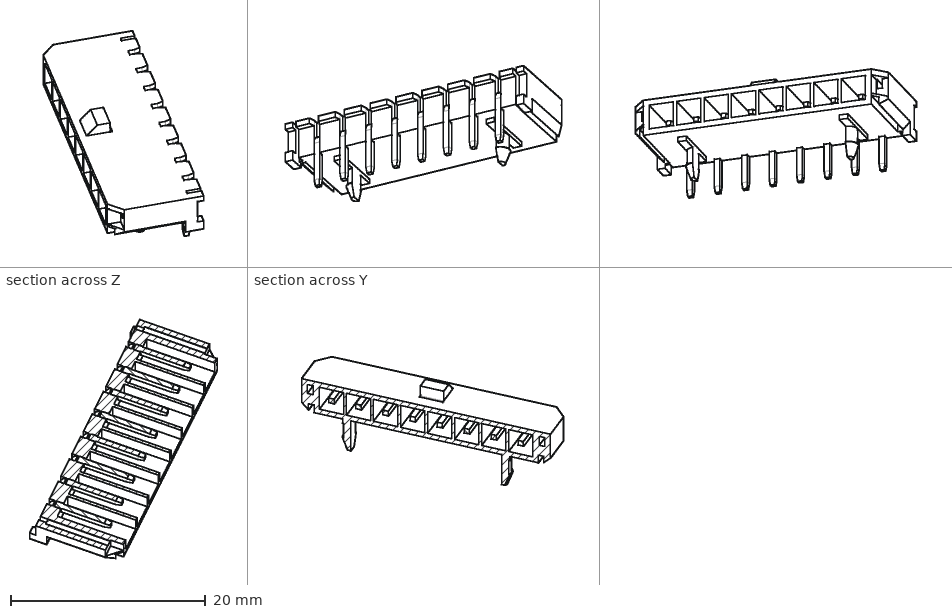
import cadquery as cq


contact_count = 8
contact_span = 21.01
pitch = contact_span / (contact_count - 1)
contact_size = 0.64
contact_tip_size = 0.47
contact_tip_length = 0.7
contact_bottom = -3.18
contact_front = 2.2
bend_radius = 1.0

width = 27.65
depth = 9.9
top = 4.4
underside = 0.5
half_width = width / 2
rear_wall = 9.24

cavity_size = 2.63
cavity_bottom = 1.13
cavity_depth = 7.6
contact_axis = cavity_bottom + cavity_size / 2
cavity_top = cavity_bottom + cavity_size

corner_x = 1.35
corner_y = 1.45
corner_floor = 1.71

bevel = 0.77
bevel_top = 1.45
channel_top = bevel_top

overhang_bottom = 3.75
foot_front = 8.0
foot_top = 1.08
slot_inset = 0.85
slot_width = 0.4
slot_front = 8.38
notch_width = 1.05

window_inset = 0.65
window_bottom = 2.75

latch_width = 2.6
latch_height = 1.2
latch_front = 0.83
latch_crest = 2.0
latch_back = 3.35
groove_radius = 0.25

rail_outer = 9.3
peg_flat = 8.35
rail_front = 1.7
rail_back = 7.75
peg_y = 4.55
peg_radius = 0.9
barb_radius = 1.05
barb_tip_radius = 0.53
barb_top = -1.75
peg_bottom = contact_bottom

contact_positions = [i * pitch - contact_span / 2 for i in range(contact_count)]
contact_back = rear_wall
contact_leg_front = contact_back - contact_size


def block(x_range, y_range, z_range):
    """Box spanning the given coordinate ranges."""
    (x0, x1), (y0, y1), (z0, z1) = x_range, y_range, z_range
    return cq.Workplane("XY").box(x1 - x0, y1 - y0, z1 - z0, centered=False).translate((x0, y0, z0))


def prism_along_x(yz_points, x_start, length):
    """Extrude a YZ outline towards +X."""
    return cq.Workplane("YZ").polyline(yz_points).close().extrude(length).translate((x_start, 0, 0))


def prism_along_z(xy_points, z_start, z_end):
    """Extrude an XY outline upwards."""
    return cq.Workplane("XY").workplane(offset=z_start).polyline(xy_points).close().extrude(z_end - z_start)


def make_shell():
    """Main block with the overhanging top edge at the back."""
    body = block((-half_width, half_width), (0, rear_wall), (underside, top))
    overhang = block((-half_width, half_width), (rear_wall, depth), (overhang_bottom, top))
    return body.union(overhang)


def bevel_cut():
    """Bevel along the lower -X edge, from the front up to the foot."""
    inner = -half_width + bevel
    return (
        cq.Workplane("XZ")
        .polyline([
            (-half_width, bevel_top),
            (inner, bevel_top - bevel),
            (inner, underside),
            (-half_width, underside),
        ])
        .close()
        .extrude(-foot_front)
    )


def corner_cut():
    """Chamfer of the -X front corner and its square pocket."""
    wall = -half_width + corner_x
    chamfer = prism_along_z([(-half_width, 0), (wall, 0), (-half_width, corner_y)], underside, top)
    pocket = block((-half_width, wall), (0, corner_y), (corner_floor, cavity_top))
    return chamfer.union(pocket)


def channel_cut():
    """Open channel under the -X side, leaving a hooked lip between it and the bevel."""
    return block((-half_width + bevel, -half_width + corner_x), (0, foot_front), (underside, channel_top))


def foot():
    """Foot at the -X back corner."""
    return block((-half_width, -half_width + slot_inset), (foot_front, depth), (0, foot_top))


def slot_cut():
    """Upright slot at the -X back corner and the window leading to it from the corner pocket."""
    slot_x = -half_width + slot_inset
    slot = block((slot_x, slot_x + slot_width), (slot_front, depth), (0, top))
    window = block(
        (-half_width + window_inset, slot_x + slot_width), (corner_y, slot_front), (window_bottom, cavity_top)
    )
    return slot.union(window)


def rail_and_peg():
    """Standoff rail near the -X end with a half-round barbed peg, flat on its inner side."""
    rail = block((-rail_outer, -peg_flat), (rail_front, rail_back), (0, underside))
    profile = [
        (0, 0),
        (peg_radius, 0),
        (peg_radius, barb_top),
        (barb_radius, barb_top),
        (barb_tip_radius, peg_bottom),
        (0, peg_bottom),
    ]
    round_peg = cq.Workplane("XZ").polyline(profile).close().revolve(360, (0, 0, 0), (0, 1, 0))
    outer_half = block((-barb_radius, 0), (-barb_radius, barb_radius), (peg_bottom, 0))
    return rail.union(round_peg.intersect(outer_half).translate((-peg_flat, peg_y, 0)))


def latch():
    """Ramp on the top face that the mating plug snaps over."""
    outline = [
        (latch_front, top),
        (latch_crest, top + latch_height),
        (latch_back, top + latch_height),
        (latch_back, top),
    ]
    return prism_along_x(outline, -latch_width / 2, latch_width)


def latch_groove():
    """Small groove behind the latch, its floor a quarter round from the latch down to the back."""
    groove_back = latch_back + groove_radius
    return (
        cq.Workplane("YZ")
        .moveTo(latch_back, top)
        .radiusArc((groove_back, top - groove_radius), -groove_radius)
        .lineTo(groove_back, top)
        .close()
        .extrude(latch_width)
        .translate((-latch_width / 2, 0, 0))
    )


def contact_notch(x):
    """Upright channel for a contact leg, flaring out through the overhang."""
    half_channel = contact_size / 2
    half_mouth = notch_width / 2
    outline = [
        (x - half_channel, contact_leg_front),
        (x + half_channel, contact_leg_front),
        (x + half_channel, rear_wall),
        (x + half_mouth, depth),
        (x - half_mouth, depth),
        (x - half_channel, rear_wall),
    ]
    return prism_along_z(outline, underside, top)


def cavity(x):
    """Square mating cavity around a contact."""
    half = cavity_size / 2
    return block((x - half, x + half), (0, cavity_depth), (cavity_bottom, cavity_top))


def taper_tip(workplane):
    """Square pyramid frustum narrowing away from the contact's end."""
    return (
        workplane.rect(contact_size, contact_size)
        .workplane(offset=contact_tip_length)
        .rect(contact_tip_size, contact_tip_size)
        .loft(ruled=True)
    )


def make_contact(x):
    """Right-angle square contact with tapered tips and a rounded bend."""
    half = contact_size / 2
    arm_start = contact_front + contact_tip_length
    leg_end = contact_bottom + contact_tip_length
    upper = contact_axis + half
    lower = contact_axis - half
    outer_corner = cq.selectors.NearestToPointSelector((0, contact_back, upper))
    inner_corner = cq.selectors.NearestToPointSelector((0, contact_leg_front, lower))
    bar = (
        prism_along_x(
            [
                (arm_start, upper),
                (contact_back, upper),
                (contact_back, leg_end),
                (contact_leg_front, leg_end),
                (contact_leg_front, lower),
                (arm_start, lower),
            ],
            -half,
            contact_size,
        )
        .edges(inner_corner)
        .fillet(bend_radius - contact_size)
        .edges(outer_corner)
        .fillet(bend_radius)
    )
    front_tip = taper_tip(cq.Workplane("XZ", origin=(0, arm_start, contact_axis)))
    leg_axis = contact_back - half
    bottom_tip = taper_tip(cq.Workplane("XY", origin=(0, leg_axis, leg_end)).transformed(rotate=(180, 0, 0)))
    return bar.union(front_tip).union(bottom_tip).translate((x, 0, 0))


def make_housing(contacts):
    """Housing with a cavity, a channel and a close-fitting hole for every contact."""
    housing = make_shell()
    for cut in (bevel_cut, corner_cut, channel_cut):
        housing = housing.cut(cut()).cut(cut().mirror("YZ"))
    for addition in (foot, rail_and_peg):
        housing = housing.union(addition()).union(addition().mirror("YZ"))
    housing = housing.cut(slot_cut()).cut(slot_cut().mirror("YZ"))
    housing = housing.union(latch()).cut(latch_groove())
    for x, contact in zip(contact_positions, contacts):
        housing = housing.cut(cavity(x)).cut(contact_notch(x)).cut(contact)
    return housing


contacts = [make_contact(x) for x in contact_positions]
housing = make_housing(contacts)

result = cq.Compound.makeCompound([housing.val(), *[contact.val() for contact in contacts]])